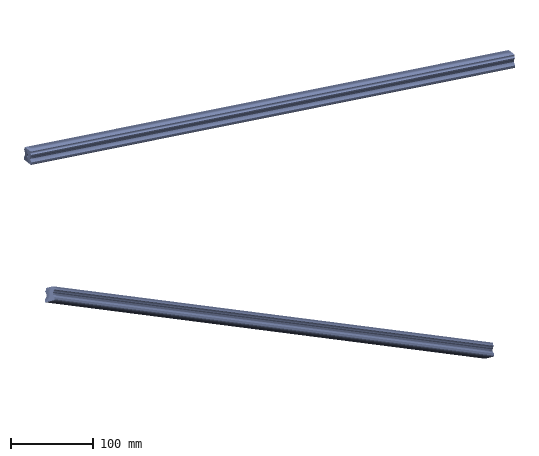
import cadquery as cq
import math

length = 660.0
width = 20.0
height = 17.5
half_width = width / 2

groove_radius = 2.3
edge_strip_height = 0.8
edge_strip_z = 13.35
half_head = half_width - groove_radius
edge_strip_top_z = edge_strip_z + edge_strip_height / 2
edge_strip_bottom_z = edge_strip_z - edge_strip_height / 2
upper_groove_z = edge_strip_top_z + groove_radius
lower_groove_z = edge_strip_bottom_z - groove_radius
top_chamfer = 0.5

half_neck = 6.5
neck_top_z = 9.3
neck_bottom_z = 7.0
foot_side_top_z = 3.7
foot_corner_chamfer = 0.4
foot_top_z = foot_side_top_z + foot_corner_chamfer
foot_slope_end_x = half_neck + neck_bottom_z - foot_top_z
base_chamfer = 1.0

hole_diameter = 3.9
hole_x = -0.1
hole_z = height / 2
hole_depth = 10.0


def right_half_section():
    """Right half of the section, drawn from the base up and closed along the middle plane."""
    groove_mid_x = half_width - groove_radius * math.cos(math.pi / 4)
    groove_mid_rise = groove_radius * math.sin(math.pi / 4)
    return (
        cq.Workplane("XZ")
        .lineTo(half_width - base_chamfer, 0)
        .lineTo(half_width, base_chamfer)
        .lineTo(half_width, foot_side_top_z)
        .lineTo(half_width - foot_corner_chamfer, foot_top_z)
        .lineTo(foot_slope_end_x, foot_top_z)
        .lineTo(half_neck, neck_bottom_z)
        .lineTo(half_neck, neck_top_z)
        .lineTo(half_head, lower_groove_z)
        .threePointArc((groove_mid_x, lower_groove_z + groove_mid_rise), (half_width, edge_strip_bottom_z))
        .lineTo(half_width, edge_strip_top_z)
        .threePointArc((groove_mid_x, upper_groove_z - groove_mid_rise), (half_head, upper_groove_z))
        .lineTo(half_head, height - top_chamfer)
        .lineTo(half_head - top_chamfer, height)
        .lineTo(0, height)
        .close()
    )


def rail_body():
    """Half section extruded along Y, then mirrored to the other side of the middle plane."""
    right_half = right_half_section().extrude(length / 2, both=True)
    left_half = right_half.mirror("YZ")
    return right_half.union(left_half).clean()


def end_hole():
    """Cylinder that cuts the hole into the front end along +Y."""
    front_end = cq.Workplane("XZ", origin=(hole_x, -length / 2, hole_z))
    return front_end.circle(hole_diameter / 2).extrude(-hole_depth)


result = rail_body().cut(end_hole())